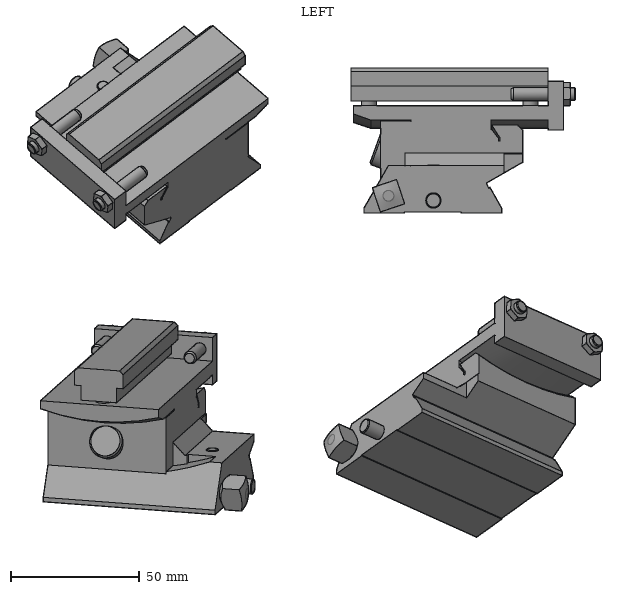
import cadquery as cq
import math


overshoot = 0.9

half_width = 24.0
slide_length = 76.0
slide_top = 41.9
track_radius = 90.5
track_low_point = 33.05
track_axis_z = track_low_point + track_radius
slide_side_bottom = track_axis_z - math.sqrt(track_radius**2 - half_width**2)
slide_bevel_start = 69.15
slide_bevel_rise = 2.4
plate_thickness = 6.05
plate_bottom = 32.3
plate_top = 51.45
rail_length = 77.0
rail_half_width = 9.9
rail_bottom = 43.65
rail_step = 49.5
rail_top = 56.6
rail_inset = 2.6
rail_chamfer = 1.4
pin_diameter = 6.0
pin_positions = (6.9, 69.95)

body_front = 9.9
body_back = 65.4
base_left = -45.8
base_top = 18.5
base_front = 17.2
base_bottom_front = 18.05
base_bottom_back = 72.0
base_edge_height = 1.8
undercut_y = 24.1
undercut_z = 11.7
relief_floor = (23.1, 9.7)
relief_edge = (22.7, 10.1)
body_front_low = 19.8
dovetail_slope = math.tan(math.radians(60))
foot_relief = (33.9, 56.1)
foot_relief_depth = 0.35
lower_left = -24.4
wedge_toe = -29.0
wedge_back = 55.8

pocket_left = -40.85
pocket_front = 53.8
pocket_wall = -29.7
pocket_middle = -32.0
pocket_middle_depth = 2.7
pocket_depth = 4.5

front_gap_wall = 22.35
front_gap_floor = 34.3
body_edge_chamfer = 1.9
front_gap_wall_end = 33.1
slit_mouth_y = 22.0
slit_bend = (19.5, 29.3)
slit_bottom = 28.1
slit_width = 0.7
back_gap_start = 53.5
back_gap = 0.4

stud_diameter = 5.0
stud_spacing = 37.7
stud_z = 46.45
stud_back = 14.55
stud_front = -10.7
stud_tip_chamfer = 0.35
stud_cone_length = 1.05
stud_cone_inset = 0.5
nut_across_corners = 9.2
nut_height = 2.6
nut_chamfer = 0.3
nut_turn = 3.0
side_screw_y = 44.8
side_screw_z = 4.9
side_screw_diameter = 6.0
side_screw_end = -53.55
set_screw_x = -36.9
set_screw_height = 0.35
set_screw_chamfer = 0.4
set_screw_seat = 0.9
bolt_y = 62.3
bolt_z = 6.75
bolt_end = -56.0
bolt_square = 10.0
bolt_corner_radius = bolt_square / math.sqrt(2)
bolt_tip_radius = 2.1
bolt_dome = 1.3
bolt_prism_end = -48.0
bolt_neck_radius = 3.5
bolt_turn = 18.6
knob_diameter = 13.15
knob_length = 5.3
knob_chamfer = 0.7
knob_y = 67.5
knob_z = 25.2
knob_tilt = 20.0


def box(x_range, y_range, z_range):
    """Box between pairs of limits along X, Y and Z."""
    size = [high - low for low, high in (x_range, y_range, z_range)]
    corner = (x_range[0], y_range[0], z_range[0])
    return cq.Workplane("XY").box(*size, centered=False).translate(corner)


def prism_along_x(points, x_start, x_end):
    """Outline of (y, z) points extruded from x_start to x_end."""
    return cq.Workplane("YZ", origin=(x_start, 0, 0)).polyline(points).close().extrude(x_end - x_start)


def prism_along_y(points, y_start, y_end):
    """Outline of (x, z) points extruded from y_start to y_end."""
    return cq.Workplane("XZ", origin=(0, y_start, 0)).polyline(points).close().extrude(y_start - y_end)


def revolve_about_track(points):
    """Revolve (y, z) points about the track axis; each z is a height at the side faces."""
    profile = [(y, track_axis_z - math.hypot(half_width, track_axis_z - z)) for y, z in points]
    return (
        cq.Workplane("YZ").polyline(profile).close()
        .revolve(360, (0, track_axis_z), (1, track_axis_z))
    )


def make_slide():
    stock = box((-half_width, half_width), (0, slide_length), (track_low_point, slide_top))
    bevel_end = slide_side_bottom + slide_bevel_rise
    envelope_top = track_axis_z - half_width
    envelope = revolve_about_track([
        (0, envelope_top),
        (0, slide_side_bottom),
        (slide_bevel_start, slide_side_bottom),
        (slide_length, bevel_end),
        (slide_length, envelope_top),
    ])
    return stock.intersect(envelope)


def make_end_plate():
    return box((-half_width, half_width), (-plate_thickness, 0), (plate_bottom, plate_top))


def make_rail():
    neck_half_width = rail_half_width - rail_inset
    neck = box((-neck_half_width, neck_half_width), (0, rail_length), (rail_bottom, rail_step))
    head = box((-rail_half_width, rail_half_width), (0, rail_length), (rail_step, rail_top))
    rail = neck.union(head.edges("|Y and >Z").chamfer(rail_chamfer))
    for y in pin_positions:
        pin = cq.Workplane("XY", origin=(0, y, slide_top)).circle(pin_diameter / 2)
        rail = rail.union(pin.extrude(rail_bottom - slide_top))
    return rail


def make_base():
    """Dovetailed base, with the wedge that leads up to the body."""
    slope_run = (base_top - base_edge_height) / dovetail_slope
    wedge_top = base_top - half_width - wedge_toe
    back_slope_top = base_bottom_back - slope_run
    foot = [
        (base_bottom_back, 0),
        (base_bottom_back, base_edge_height),
        (back_slope_top, base_top),
        (back_slope_top, wedge_top),
        (body_front, wedge_top),
        (body_front, body_front_low),
        (undercut_y, undercut_z),
        relief_floor,
        relief_edge,
        (base_bottom_front, base_edge_height),
        (base_bottom_front, 0),
    ]
    base = prism_along_x(foot, base_left, half_width)
    above_shelf = [
        (base_left, base_top),
        (wedge_toe, base_top),
        (-half_width, wedge_top),
        (base_left, wedge_top),
    ]
    base = base.cut(prism_along_y(above_shelf, 0, base_bottom_back))
    base = base.cut(box((base_left, lower_left), (0, base_front), (undercut_z, slide_top)))
    behind_wedge = box((wedge_toe, -half_width), (wedge_back, base_bottom_back), (base_top, slide_top))
    foot_slot = box((base_left, half_width), foot_relief, (0, foot_relief_depth))
    return base.cut(behind_wedge).cut(foot_slot).cut(make_pocket())


def make_pocket():
    """Clearance with a gently curved floor, sinking toward the body and open at the back."""
    floor_middle = (pocket_middle, base_top - pocket_middle_depth)
    floor_end = (-half_width, base_top - pocket_depth)
    pocket = (
        cq.Workplane("XZ", origin=(0, pocket_front, 0))
        .moveTo(pocket_left, base_top)
        .threePointArc(floor_middle, floor_end)
        .lineTo(-half_width, base_top)
        .close().extrude(pocket_front - base_bottom_back)
    )
    wedge_end = box((pocket_wall, -half_width), (pocket_front, wedge_back), (0, slide_top))
    return pocket.cut(wedge_end)


def make_body():
    """Block that carries the slide, separated from it by curved gaps at the front and back."""
    body = box((-half_width, half_width), (body_front, body_back), (body_front_low, slide_side_bottom))
    body = body.union(
        box((-half_width, half_width), (undercut_y, body_back), (undercut_z, body_front_low))
    )
    chamfer_y = body_front + body_edge_chamfer
    chamfer_z = front_gap_floor - body_edge_chamfer
    slit_back, slit_bend_z = slit_bend
    slit_front = slit_back - slit_width
    front_gap = revolve_about_track([
        (front_gap_wall, slide_side_bottom),
        (front_gap_wall, front_gap_wall_end),
        slit_bend,
        (slit_back, slit_bottom),
        (slit_front, slit_bottom),
        (slit_front, slit_bend_z),
        (slit_mouth_y, front_gap_floor),
        (chamfer_y, front_gap_floor),
        (body_front, chamfer_z),
        (body_front - overshoot, chamfer_z),
        (body_front - overshoot, slide_side_bottom),
    ])
    back_clearance = revolve_about_track([
        (back_gap_start, slide_side_bottom),
        (back_gap_start, slide_side_bottom - back_gap),
        (body_back + overshoot, slide_side_bottom - back_gap),
        (body_back + overshoot, slide_side_bottom),
    ])
    return body.cut(front_gap).cut(back_clearance)


def make_stud(x):
    """Stud through the end plate with a nut on its outer side."""
    radius = stud_diameter / 2
    stud = (
        cq.Workplane("XZ", origin=(x, stud_back, stud_z)).circle(radius).extrude(stud_back - stud_front)
        .faces("<Y").chamfer(stud_tip_chamfer)
        .faces(">Y").edges().chamfer(stud_cone_length, stud_cone_inset)
    )
    nut_plane = cq.Workplane("XZ", origin=(x, -plate_thickness, stud_z))
    nut = (
        nut_plane.transformed(rotate=(0, 0, 90 - nut_turn))
        .polygon(6, nut_across_corners).extrude(nut_height)
    )
    rounding = nut_plane.circle(nut_across_corners / 2).extrude(nut_height).faces("<Y").chamfer(nut_chamfer)
    return stud.union(nut.intersect(rounding))


def make_side_screw():
    return (
        cq.Workplane("YZ", origin=(side_screw_end, side_screw_y, side_screw_z))
        .circle(side_screw_diameter / 2).extrude(base_left - side_screw_end)
        .faces("<X").chamfer(stud_tip_chamfer)
    )


def make_set_screw():
    return (
        cq.Workplane("XY", origin=(set_screw_x, side_screw_y, base_top - set_screw_seat))
        .circle(stud_diameter / 2).extrude(set_screw_seat + set_screw_height)
        .faces(">Z").chamfer(set_screw_chamfer)
    )


def make_square_bolt():
    """Square bolt head with a conical end and a conical shoulder."""
    axis_plane = cq.Workplane("YZ", origin=(bolt_end, bolt_y, bolt_z))
    head = (
        axis_plane.transformed(rotate=(0, 0, -bolt_turn))
        .rect(bolt_square, bolt_square).extrude(base_left - bolt_end)
    )
    turned = (
        cq.Workplane("XY")
        .polyline([
            (bolt_end, 0),
            (bolt_end, bolt_tip_radius),
            (bolt_end + bolt_dome, bolt_corner_radius),
            (bolt_prism_end, bolt_corner_radius),
            (base_left, bolt_neck_radius),
            (base_left, 0),
        ])
        .close().revolve(360, (0, 0), (1, 0)).translate((0, bolt_y, bolt_z))
    )
    return head.intersect(turned)


def make_back_knob():
    """Tilted round knob half sunk in the back of the body."""
    tilt = math.radians(knob_tilt)
    plane = cq.Plane(
        origin=(0, knob_y, knob_z), xDir=(1, 0, 0), normal=(0, math.cos(tilt), math.sin(tilt))
    )
    knob = cq.Workplane(plane).circle(knob_diameter / 2).extrude(-knob_length)
    return knob.faces(">Y").edges().chamfer(knob_chamfer)


parts = [
    make_end_plate(),
    make_rail(),
    make_body(),
    make_base(),
    make_side_screw(),
    make_set_screw(),
    make_square_bolt(),
    make_back_knob(),
]
for side in (-1, 1):
    parts.append(make_stud(side * stud_spacing / 2))

result = make_slide()
for piece in parts:
    result = result.union(piece)